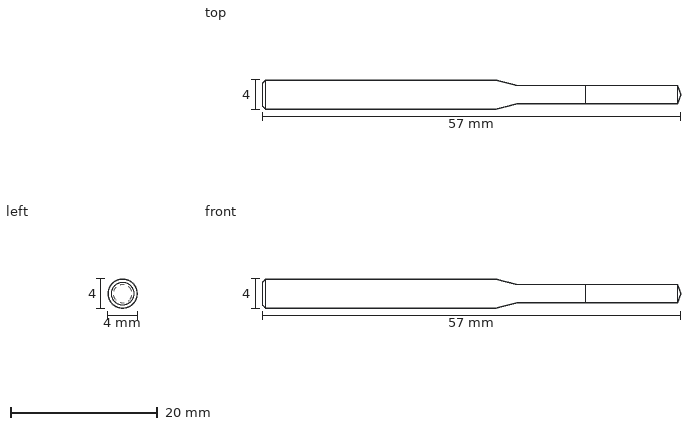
import cadquery as cq
import math

overall_length = 57.0
shank_diameter = 4.0
shank_end = 31.8
rear_chamfer = 0.45
taper_length = 2.9
neck_diameter = 2.5
cutting_length = 13.0
point_angle = 140.0

shank_radius = shank_diameter / 2
neck_radius = neck_diameter / 2
taper_end = shank_end + taper_length
cutting_start = overall_length - cutting_length
point_length = neck_radius / math.tan(math.radians(point_angle / 2))
point_start = overall_length - point_length


def revolve_about_x(profile):
    """Turn a closed (x, radius) profile around the X axis."""
    outline = cq.Workplane("XY").polyline(profile).close()
    return outline.revolve(360, (0, 0, 0), (1, 0, 0))


def make_shank():
    """Chamfered shank, taper and neck, up to the start of the cutting section."""
    return revolve_about_x([
        (0, 0),
        (0, shank_radius - rear_chamfer),
        (rear_chamfer, shank_radius),
        (shank_end, shank_radius),
        (taper_end, neck_radius),
        (cutting_start, neck_radius),
        (cutting_start, 0),
    ])


def make_cutting_section():
    """Cylinder that continues the neck and ends in a conical point."""
    return revolve_about_x([
        (cutting_start, 0),
        (cutting_start, neck_radius),
        (point_start, neck_radius),
        (overall_length, 0),
    ])


shank = make_shank()
cutting_section = make_cutting_section()

result = cq.Compound.makeCompound([shank.val(), cutting_section.val()])